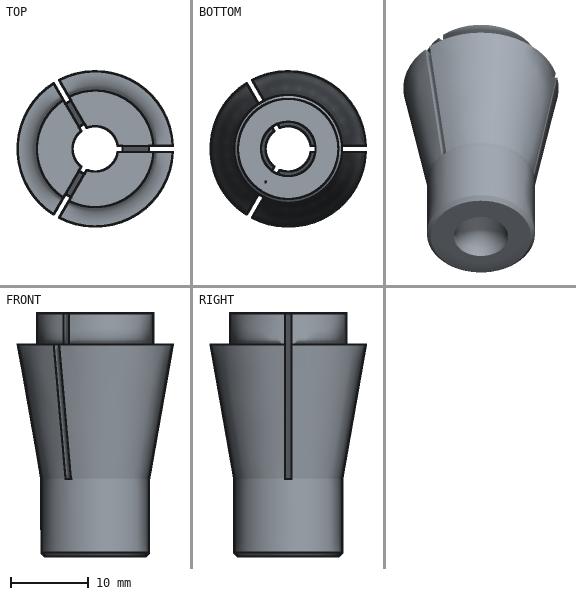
import cadquery as cq

total_height = 31.3
nose_height = 4.0
shank_height = 10.0
shoulder_z = total_height - nose_height

shank_diameter = 13.9
head_diameter = 20.0
nose_diameter = 15.0
bottom_chamfer = 0.5

grip_bore_diameter = 5.8
relief_bore_diameter = 7.0
relief_depth = shank_height

slot_width = 0.8
slot_count = 3


def make_body():
    """Shank, taper widening upwards and nose, as one turned profile."""
    shank_radius = shank_diameter / 2
    head_radius = head_diameter / 2
    nose_radius = nose_diameter / 2
    profile = (
        cq.Workplane("XZ")
        .moveTo(0, 0)
        .lineTo(shank_radius - bottom_chamfer, 0)
        .lineTo(shank_radius, bottom_chamfer)
        .lineTo(shank_radius, shank_height)
        .lineTo(head_radius, shoulder_z)
        .lineTo(nose_radius, shoulder_z)
        .lineTo(nose_radius, total_height)
        .lineTo(0, total_height)
        .close()
    )
    return profile.revolve(360, (0, 0, 0), (0, 1, 0))


def make_bore():
    """Narrow gripping bore above a wider relief bore."""
    grip_bore = cq.Workplane("XY").circle(grip_bore_diameter / 2).extrude(total_height)
    relief_bore = cq.Workplane("XY").circle(relief_bore_diameter / 2).extrude(relief_depth)
    return grip_bore.union(relief_bore)


def make_slot(angle):
    """Radial slot from the axis outwards, open at the top, with its floor on the shank."""
    slot = (
        cq.Workplane("XY")
        .workplane(offset=shank_height)
        .rect(head_diameter, slot_width)
        .extrude(total_height - shank_height)
        .translate((head_diameter / 2, 0, 0))
    )
    return slot.rotate((0, 0, 0), (0, 0, 1), angle)


result = make_body().cut(make_bore())
for index in range(slot_count):
    result = result.cut(make_slot(index * 360 / slot_count))